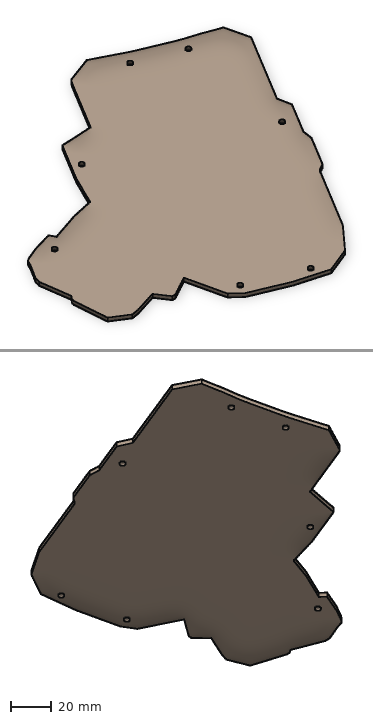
import cadquery as cq

length = 169.5
width = 158.2
thickness = 3.0
hole_diameter = 3.0

top_step = 155.7
left_shoulder = 149.7
left_block_bottom = 56.1
centre_bottom = 39.2
left_waist = 1.4
waist_bottom = 87.7
waist_top = 117.9

upper_edge = [
    (0, 138.5),
    (10.3, left_shoulder),
    (52.5, left_shoulder),
    (58.5, top_step),
    (77.3, top_step),
    (82.4, width),
    (100.4, width),
    (103.6, top_step),
    (141.8, top_step),
    (157.7, 151.8),
]
right_edge = [
    (167.5, 141.5),
    (length, 120.7),
    (length, 96.0),
    (167.2, waist_bottom),
    (150.7, 70.2),
]
thumb_lobe = [
    (159.9, 62.9),
    (160.5, 61.0),
    (156.2, 52.2),
    (164.0, 42.2),
    (166.0, 38.7),
    (164.3, 26.3),
    (148.9, 13.7),
    (147.2, 13.0),
    (145.3, 13.5),
    (131.8, 1.2),
    (128.9, 0.2),
    (120.4, 0.3),
    (116.7, 0),
    (115.1, 1.2),
    (110.4, 6.1),
    (104.0, 14.8),
    (106.0, 18.3),
    (95.8, 30.7),
    (89.2, 41.0),
]
lower_edge = [
    (72.7, centre_bottom),
    (49.7, centre_bottom),
    (48.2, 43.0),
    (42.5, left_block_bottom),
    (13.2, left_block_bottom),
    (10.0, 56.3),
]
left_edge = [
    (0, 67.7),
    (0.7, 79.4),
    (1.2, waist_bottom),
    (left_waist, 93.5),
    (left_waist, 112.3),
    (1.2, waist_top),
    (0.5, 126.3),
    (0.2, 136.8),
]

right_hole_x = length - 5.8
hole_centres = [
    (67.8, 147.5),
    (right_hole_x, 132.0),
    (right_hole_x, 95.3),
    (8.1, waist_top),
    (8.3, 87.5),
    (64.5, 44.6),
    (113.5, 15.0),
]


def make_plate():
    """Flat plate with the full outline."""
    outline = upper_edge + right_edge + thumb_lobe + lower_edge + left_edge
    return cq.Workplane("XY").polyline(outline).close().extrude(thickness)


def drill_screw_holes(plate):
    """Drill the screw holes through the plate."""
    return plate.faces(">Z").workplane(origin=(0, 0, 0)).pushPoints(hole_centres).hole(hole_diameter)


result = drill_screw_holes(make_plate())